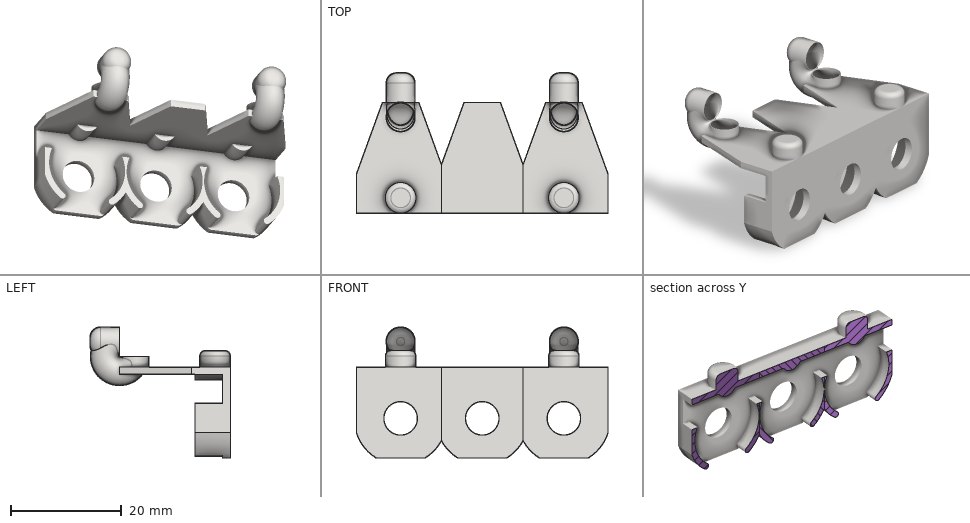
import cadquery as cq
import math

total_length = 45.4
bracket_width = 16.0
bracket_count = 3
pitch = (total_length - bracket_width) / (bracket_count - 1)

plate_thickness = 1.25
plate_length = 20.0
plate_tip_width = 6.6
taper_start = 7.1

wall_thickness = 1.5
wall_height = 16.4
hole_diameter = 6.0
hole_depth = 9.2
clip_outer_radius = 8.4
arm_thickness = 1.2
clip_inner_radius = clip_outer_radius - arm_thickness
clip_depth = 6.45
arm_top_depth = 6.45
arm_end_angle = 53.0

rib_radius = 2.2
rib_drop = 1.05

stud_radius = 2.75
stud_setback = 2.8
stud_height = 3.0
stud_fillet = 1.0

tube_radius = 2.65
bend_tube_radius = 2.6
hook_wall = 0.1
bend_radius = 2.7
mouth_height = 1.95
bend_angle = 270.0
outlet_length = 5.35
outlet_fillet = 1.9
floor_thickness = 0.1

half_width = bracket_width / 2
corner_top_angle = math.acos(half_width / clip_outer_radius)


def profile_plane(y):
    """XZ work plane at the given Y, with its origin on the clip axis; a negative extrusion goes toward +Y."""
    return cq.Workplane(cq.Plane((0, y, -hole_depth), xDir=(1, 0, 0), normal=(0, -1, 0)))


def below_axis(radius, angle):
    """Profile-plane point at a radius from the clip axis and an angle below horizontal, on the +X side."""
    return (radius * math.cos(angle), -radius * math.sin(angle))


def top_plate():
    half_tip = plate_tip_width / 2
    outline = [
        (-half_width, 0),
        (half_width, 0),
        (half_width, taper_start),
        (half_tip, plate_length),
        (-half_tip, plate_length),
        (-half_width, taper_start),
    ]
    return cq.Workplane("XY").polyline(outline).close().extrude(-plate_thickness)


def front_wall():
    """Rectangular wall with a hole; its lower corners are rounded about the hole's axis."""
    top = hole_depth
    bottom = hole_depth - wall_height
    half_bottom = math.sqrt(clip_outer_radius**2 - bottom**2)
    corner_middle = (corner_top_angle + math.acos(half_bottom / clip_outer_radius)) / 2
    middle_x, middle_z = below_axis(clip_outer_radius, corner_middle)
    return (
        profile_plane(0)
        .moveTo(-half_width, top)
        .lineTo(half_width, top)
        .lineTo(*below_axis(clip_outer_radius, corner_top_angle))
        .threePointArc((middle_x, middle_z), (half_bottom, bottom))
        .lineTo(-half_bottom, bottom)
        .threePointArc((-middle_x, middle_z), (-half_width, half_width * -math.tan(corner_top_angle)))
        .close()
        .moveTo(0, 0)
        .circle(hole_diameter / 2)
        .extrude(-wall_thickness)
    )


def clip_arm():
    """Curved arm on the +X side with a flat ledge on top and a rounded lower end."""
    ledge = hole_depth - arm_top_depth
    mid_radius = (clip_inner_radius + clip_outer_radius) / 2
    end_angle = math.radians(arm_end_angle)
    tip_angle = end_angle + arm_thickness / 2 / mid_radius
    corner_middle = (corner_top_angle + end_angle) / 2
    profile = (
        profile_plane(wall_thickness)
        .moveTo(math.sqrt(clip_inner_radius**2 - ledge**2), ledge)
        .threePointArc(below_axis(clip_inner_radius, 0), below_axis(clip_inner_radius, end_angle))
        .threePointArc(below_axis(mid_radius, tip_angle), below_axis(clip_outer_radius, end_angle))
        .threePointArc(
            below_axis(clip_outer_radius, corner_middle),
            below_axis(clip_outer_radius, corner_top_angle),
        )
        .lineTo(half_width, ledge)
        .close()
    )
    return profile.extrude(-(clip_depth - wall_thickness))


def rib():
    """Part of a round bar that hangs below the plate by the rib drop."""
    rib_depth = clip_depth - wall_thickness
    bar_height = hole_depth - plate_thickness - rib_drop + rib_radius
    bar = (
        profile_plane(wall_thickness)
        .center(0, bar_height)
        .circle(rib_radius)
        .extrude(-rib_depth)
    )
    below_plate = cq.Workplane("XY").box(
        bracket_width, plate_length, wall_height, centered=(True, False, False)
    )
    return bar.intersect(below_plate.translate((0, 0, -wall_height)))


def stud():
    return (
        cq.Workplane("XY")
        .center(0, stud_setback)
        .circle(stud_radius)
        .extrude(stud_height)
        .faces(">Z")
        .edges()
        .fillet(stud_fillet)
    )


def hook_shape(inset):
    """Solid hook with its skin moved inward by the inset; the open ends stay where they are."""
    radius = tube_radius - inset
    mouth = (
        cq.Workplane("XY", origin=(0, plate_length - bend_radius, 0))
        .circle(radius)
        .extrude(mouth_height)
    )
    bend = (
        cq.Workplane("XY", origin=(0, plate_length, mouth_height))
        .center(0, -bend_radius)
        .circle(bend_tube_radius - inset)
        .revolve(bend_angle, (0, bend_radius, 0), (1, bend_radius, 0))
    )
    outlet_plane = cq.Plane(
        (0, plate_length, mouth_height + bend_radius), xDir=(1, 0, 0), normal=(0, -1, 0)
    )
    outlet = (
        cq.Workplane(outlet_plane)
        .circle(radius)
        .extrude(-(outlet_length - inset))
        .faces(">Y")
        .edges()
        .fillet(outlet_fillet - inset)
    )
    return bend.union(mouth).union(outlet)


def hook_bore():
    """Hollow inside the hook, interrupted by a thin floor at the bottom of the plate."""
    floor = cq.Workplane("XY").box(
        bracket_width, plate_length, floor_thickness, centered=(True, False, False)
    )
    return hook_shape(hook_wall).cut(floor.translate((0, 0, -plate_thickness)))


def bracket(index):
    """One bracket of the row; the end brackets carry a stud and a hook."""
    is_first = index == 0
    is_last = index == bracket_count - 1
    body = top_plate().union(front_wall()).union(rib())
    body = body.union(clip_arm()).union(clip_arm().mirror("YZ"))
    if is_first or is_last:
        body = body.union(stud()).union(hook_shape(0)).cut(hook_bore())

    left = -half_width if is_first else -pitch / 2
    right = half_width if is_last else pitch / 2
    cell = cq.Workplane("XY").box(
        right - left, 2 * total_length, 2 * total_length, centered=(False, True, True)
    )
    body = body.intersect(cell.translate((left, 0, 0)))
    return body.translate(((index - (bracket_count - 1) / 2) * pitch, 0, 0))


brackets = [bracket(index) for index in range(bracket_count)]
result = cq.Compound.makeCompound([solid for body in brackets for solid in body.solids().vals()])